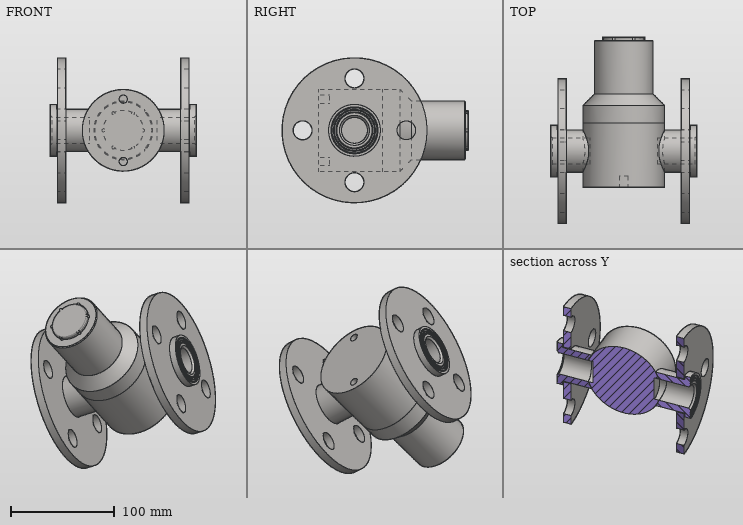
import cadquery as cq
import math


BODY_DIA = 79.0
BODY_FRONT_Y = -35.0
BODY_BACK_Y = 27.0
BORE_DIA = 25.0
BORE_FLOOR_X = 32.4
SCREW_HOLE_DIA = 8.0
SCREW_HOLE_DEPTH = 10.8
SCREW_HOLE_OFFSET = 30.0

PIPE_DIA = 41.0
COLLAR_DIA = 50.0
COLLAR_INNER_X = 64.0
COLLAR_OUTER_X = 70.47
LEAD_IN_DIA = 29.0
LEAD_IN_DEPTH = (LEAD_IN_DIA - BORE_DIA) / 2
GROOVE_OUTER_DIAS = (35.8, 40.5, 45.4)
GROOVE_WIDTH = 0.9
GROOVE_DEPTH = 0.4

FLANGE_DIA = 140.0
FLANGE_THICKNESS = 8.1
FLANGE_HOLE_DIA = 41.5
FLANGE_GAP = 0.5
BOLT_HOLE_DIA = 18.0
BOLT_CIRCLE_DIA = 100.0
BOLT_COUNT = 4

BONNET_NECK_DIA = 56.9
BONNET_TAPER_Y = 44.0
BONNET_BACK_Y = 107.0
BONNET_CHAMFER = 0.9

KNOB_DIA = 38.7
KNOB_BACK_Y = 110.0
KNOB_FILLET = 1.0
RIB_DIA = 2.9
RIB_TIP_DIA = 41.0
RIB_COUNT = 6

SIDES = (-1, 1)


def cylinder_x(diameter, x_start, x_end):
    """Cylinder about the X axis between two X positions."""
    return cq.Workplane("YZ", origin=(x_start, 0, 0)).circle(diameter / 2).extrude(x_end - x_start)


def cylinder_y(diameter, y_start, y_end, x=0.0, z=0.0):
    """Cylinder parallel to the Y axis between two Y positions."""
    return cq.Workplane("XZ", origin=(x, y_start, z)).circle(diameter / 2).extrude(y_start - y_end)


def on_side(shape, side):
    """Return a shape built on the +X side, mirrored to -X when side is -1."""
    return shape if side > 0 else shape.mirror("YZ")


def make_body():
    body = cylinder_y(BODY_DIA, BODY_FRONT_Y, BODY_BACK_Y)
    for side in SIDES:
        body = body.cut(on_side(cylinder_x(BORE_DIA, BORE_FLOOR_X, BODY_DIA / 2), side))
        hole_end_y = BODY_FRONT_Y + SCREW_HOLE_DEPTH
        body = body.cut(
            cylinder_y(SCREW_HOLE_DIA, BODY_FRONT_Y, hole_end_y, z=side * SCREW_HOLE_OFFSET)
        )
    return body


def make_tailpiece(side):
    tailpiece = (
        cq.Workplane("XY")
        .moveTo(0, BORE_DIA / 2)
        .lineTo(COLLAR_OUTER_X - LEAD_IN_DEPTH, BORE_DIA / 2)
        .lineTo(COLLAR_OUTER_X, LEAD_IN_DIA / 2)
        .lineTo(COLLAR_OUTER_X, COLLAR_DIA / 2)
        .lineTo(COLLAR_INNER_X, COLLAR_DIA / 2)
        .lineTo(COLLAR_INNER_X, PIPE_DIA / 2)
        .lineTo(0, PIPE_DIA / 2)
        .close()
        .revolve(360, (0, 0, 0), (1, 0, 0))
    )
    tailpiece = tailpiece.cut(cylinder_y(BODY_DIA, BODY_FRONT_Y, BODY_BACK_Y))
    for groove_dia in GROOVE_OUTER_DIAS:
        groove_floor_x = COLLAR_OUTER_X - GROOVE_DEPTH
        groove = cylinder_x(groove_dia, groove_floor_x, COLLAR_OUTER_X).cut(
            cylinder_x(groove_dia - 2 * GROOVE_WIDTH, groove_floor_x, COLLAR_OUTER_X)
        )
        tailpiece = tailpiece.cut(groove)
    return on_side(tailpiece, side)


def make_flange(side):
    outer_x = COLLAR_INNER_X - FLANGE_GAP
    inner_x = outer_x - FLANGE_THICKNESS
    flange = (
        cq.Workplane("YZ", origin=(inner_x, 0, 0))
        .circle(FLANGE_DIA / 2)
        .circle(FLANGE_HOLE_DIA / 2)
        .extrude(FLANGE_THICKNESS)
    )
    bolt_holes = (
        cq.Workplane("YZ", origin=(inner_x, 0, 0))
        .polarArray(BOLT_CIRCLE_DIA / 2, 0, 360, BOLT_COUNT)
        .circle(BOLT_HOLE_DIA / 2)
        .extrude(FLANGE_THICKNESS)
    )
    return on_side(flange.cut(bolt_holes), side)


def make_bonnet():
    taper_end_y = BONNET_TAPER_Y + (BODY_DIA - BONNET_NECK_DIA) / 2
    return (
        cq.Workplane("XY")
        .moveTo(0, BODY_BACK_Y)
        .lineTo(BODY_DIA / 2, BODY_BACK_Y)
        .lineTo(BODY_DIA / 2, BONNET_TAPER_Y)
        .lineTo(BONNET_NECK_DIA / 2, taper_end_y)
        .lineTo(BONNET_NECK_DIA / 2, BONNET_BACK_Y - BONNET_CHAMFER)
        .lineTo(BONNET_NECK_DIA / 2 - BONNET_CHAMFER, BONNET_BACK_Y)
        .lineTo(0, BONNET_BACK_Y)
        .close()
        .revolve(360, (0, 0, 0), (0, 1, 0))
    )


def make_knob():
    knob = cylinder_y(KNOB_DIA, BONNET_BACK_Y, KNOB_BACK_Y).faces(">Y").fillet(KNOB_FILLET)
    rib_circle_radius = (RIB_TIP_DIA - RIB_DIA) / 2
    for index in range(RIB_COUNT):
        angle = 2 * math.pi * index / RIB_COUNT
        rib_x = rib_circle_radius * math.cos(angle)
        rib_z = rib_circle_radius * math.sin(angle)
        knob = knob.union(cylinder_y(RIB_DIA, BONNET_BACK_Y, KNOB_BACK_Y, rib_x, rib_z))
    return knob


body = make_body()
bonnet = make_bonnet()
knob = make_knob()
tailpieces = [make_tailpiece(side).val() for side in SIDES]
flanges = [make_flange(side).val() for side in SIDES]

result = cq.Compound.makeCompound(
    [body.val(), bonnet.val(), knob.val(), *tailpieces, *flanges]
)